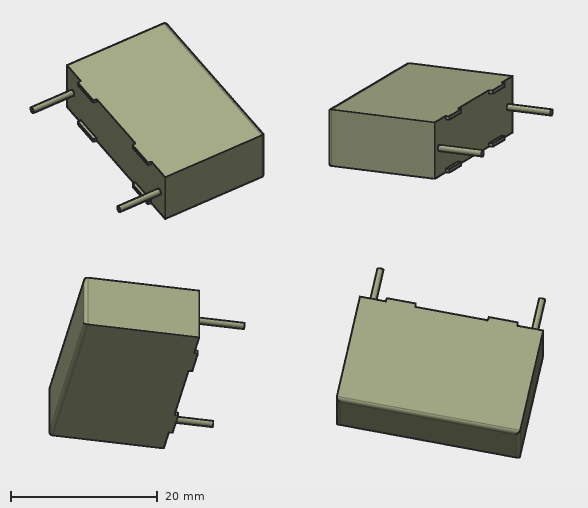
import cadquery as cq

length = 25.5
thickness = 8.0
overall_depth = 22.5
housing_depth = 16.0
back_fillet = 0.5

standoff_spacing = 14.18
standoff_root_width = 4.18
standoff_tip_width = 3.98
standoff_height = 0.5
standoff_thickness = 0.5

lead_spacing = 22.5
lead_diameter = 0.9

lead_length = overall_depth - housing_depth


def make_standoff(center_x, bottom_z):
    """Tapered foot on the mounting face, starting at height bottom_z."""
    return (
        cq.Workplane("XY", origin=(center_x, 0, bottom_z))
        .moveTo(-standoff_root_width / 2, 0)
        .lineTo(-standoff_tip_width / 2, -standoff_height)
        .lineTo(standoff_tip_width / 2, -standoff_height)
        .lineTo(standoff_root_width / 2, 0)
        .close()
        .extrude(standoff_thickness)
    )


def make_housing():
    """Box with a rounded back and four standoffs flush with its broad faces."""
    housing = (
        cq.Workplane("XY")
        .box(length, housing_depth, thickness, centered=(True, False, True))
        .faces(">Y")
        .edges()
        .fillet(back_fillet)
    )
    for center_x in (-standoff_spacing / 2, standoff_spacing / 2):
        for bottom_z in (-thickness / 2, thickness / 2 - standoff_thickness):
            housing = housing.union(make_standoff(center_x, bottom_z))
    return housing


def make_lead(center_x):
    """Round wire lead standing on the mounting face."""
    return (
        cq.Workplane("XZ", origin=(center_x, 0, 0))
        .circle(lead_diameter / 2)
        .extrude(lead_length)
    )


housing = make_housing()
leads = [make_lead(center_x) for center_x in (-lead_spacing / 2, lead_spacing / 2)]

result = cq.Compound.makeCompound([housing.val(), *[lead.val() for lead in leads]])